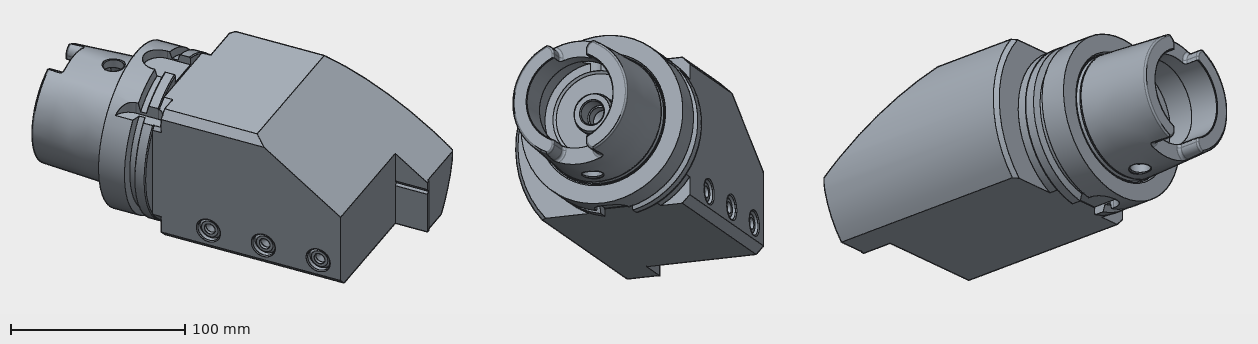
import cadquery as cq
import math


shank_length = 50.0
front_end = 170.0

gauge_diameter = 75.7
taper_per_length = 0.1
end_rounding = 1.0
neck_length = 2.6
neck_radius = 37.0
neck_bevel = 0.9
face_groove_radius = 39.4
face_groove_depth = 0.9

mouth_diameter = 54.0
bore_diameter = 53.0
recess_diameter = 63.0
recess_start = -30.4
recess_end = -9.5
floor_x = -8.5
floor_radius = 24.9

boss_diameter = 24.0
boss_tip_x = -15.5
boss_chamfer_radial = 0.9
boss_chamfer_axial = 2.6
boss_hole_mouth_diameter = 15.5
boss_hole_diameter = 14.0
boss_hole_depth = 11
boss_drill_diameter = 12.0
boss_drill_depth = 17.5
drill_tip_angle = 59

access_diameter = 12.0
access_rim_diameter = 13.5
access_rim_height = 37.0
access_x = -14.5

drive_slot_half_width = 10.0
drive_slot_rounding = 5.5
drive_slot_rounding_start = 27.0
drive_slot_depths = {1: 10.1, -1: 14.5}
drive_slot_corner = 1.8

flange_radius = 100.0 / 2
flange_length = 29.7
flange_edge = 0.7
groove_floor_radius = 46.0
groove_center = 19.8
groove_mouth = 6.5
groove_floor = 3.7

keyway_start = 5.0
keyway_radius = 10.0
keyway_floor = 44
notch_wall_y = -31.7
notch_floor_z = 31.5
notch_end = 33.7
notch_end_radius = 4.2

neck_end = 35.2
body_neck_radius = 49.7
body_top = 43.0
body_bottom = -44.5
body_side = -40.3
body_radius = 68.5
body_chamfer = 4.6
body_rear_chamfer = 2.5
slope_start = 94.2
slope_angle = 35

step_x = 149.5
step_y = 32.1
lip_width = 2.0
lip_length = 0.7
step_corner = 2.0
wall_groove_top = -15.0
wall_groove_root = -17.0
wall_groove_bottom = -18.3
wall_groove_depth = 1.3

screw_first_x = 65.3
screw_pitch = 35.0
screw_count = 3
screw_z = -30.0
screw_hole_diameter = 14.0
screw_countersink_diameter = 15.5
screw_head_depth = 3.5
screw_tip_diameter = 10.5
screw_tip_height = 1.8
socket_diameter = 6.8
socket_depth = 2.2


def revolve_about_x(points):
    """Revolve an (x, radius) outline about the X axis."""
    return cq.Workplane("XY").polyline(points).close().revolve(360, (0, 0, 0), (1, 0, 0))


def box_between(x_range, y_range, z_range):
    """Box between the given limits on each axis."""
    sizes = [high - low for low, high in (x_range, y_range, z_range)]
    corner = (x_range[0], y_range[0], z_range[0])
    return cq.Workplane("XY").box(*sizes, centered=False).translate(corner)


def make_shank_and_flange():
    taper_slope = taper_per_length / 2
    tip_radius = gauge_diameter / 2 - taper_slope * (shank_length - neck_length)
    groove_start = groove_center - groove_mouth / 2
    groove_stop = groove_center + groove_mouth / 2
    return revolve_about_x([
        (-shank_length, 0),
        (-shank_length, tip_radius),
        (-neck_length, gauge_diameter / 2),
        (-neck_length + neck_bevel, neck_radius),
        (-neck_bevel, neck_radius),
        (face_groove_depth, neck_radius + neck_bevel),
        (face_groove_depth, face_groove_radius - face_groove_depth),
        (0, face_groove_radius),
        (0, flange_radius),
        (groove_start, flange_radius),
        (groove_center - groove_floor / 2, groove_floor_radius),
        (groove_center + groove_floor / 2, groove_floor_radius),
        (groove_stop, flange_radius),
        (flange_length - flange_edge, flange_radius),
        (flange_length, flange_radius - flange_edge),
        (flange_length, 0),
    ])


def make_bore():
    mouth_chamfer = (mouth_diameter - bore_diameter) / 2
    bore = revolve_about_x([
        (-shank_length, 0),
        (-shank_length, mouth_diameter / 2),
        (-shank_length + mouth_chamfer, bore_diameter / 2),
        (recess_start, bore_diameter / 2),
        (recess_start, recess_diameter / 2),
        (recess_end, recess_diameter / 2),
        (recess_end, bore_diameter / 2),
        (floor_x, floor_radius),
        (floor_x, 0),
    ])
    boss = revolve_about_x([
        (boss_tip_x, 0),
        (boss_tip_x, boss_diameter / 2 - boss_chamfer_radial),
        (boss_tip_x + boss_chamfer_axial, boss_diameter / 2),
        (floor_x, boss_diameter / 2),
        (floor_x, 0),
    ])
    hole_chamfer = (boss_hole_mouth_diameter - boss_hole_diameter) / 2
    drill_tip = boss_drill_diameter / 2 / math.tan(math.radians(drill_tip_angle))
    boss_hole = revolve_about_x([
        (boss_tip_x, 0),
        (boss_tip_x, boss_hole_mouth_diameter / 2),
        (boss_tip_x + hole_chamfer, boss_hole_diameter / 2),
        (boss_tip_x + boss_hole_depth, boss_hole_diameter / 2),
        (boss_tip_x + boss_hole_depth, boss_drill_diameter / 2),
        (boss_tip_x + boss_drill_depth, boss_drill_diameter / 2),
        (boss_tip_x + boss_drill_depth + drill_tip, 0),
    ])
    return bore.cut(boss).union(boss_hole)


def make_access_hole():
    """Countersunk hole through the shank wall, above and below the bore."""
    hole_radius = access_diameter / 2
    rim_radius = access_rim_diameter / 2
    rim_z = access_rim_height
    sink_z = rim_z - (rim_radius - hole_radius)
    half = (
        cq.Workplane("XZ")
        .polyline([
            (0, 0),
            (hole_radius, 0),
            (hole_radius, sink_z),
            (rim_radius, rim_z),
            (rim_radius, flange_radius),
            (0, flange_radius),
        ])
        .close()
        .revolve(360, (0, 0, 0), (0, 1, 0))
        .translate((access_x, 0, 0))
    )
    core = cq.Workplane("YZ", origin=(boss_tip_x, 0, 0)).circle(bore_diameter / 2).extrude(-boss_tip_x)
    return half.union(half.mirror("XY")).cut(core)


def make_drive_slot(side):
    """Slot across the shank end whose walls flare outwards in a convex rounding."""
    inner = drive_slot_half_width
    outer = inner + drive_slot_rounding
    flare_start = drive_slot_rounding_start
    flare_end = flare_start + drive_slot_rounding
    bend = drive_slot_rounding * math.sqrt(0.5)
    mid_y = outer - bend
    mid_z = flare_start + bend
    slot = (
        cq.Workplane("YZ", origin=(-shank_length, 0, 0))
        .moveTo(-inner, 0)
        .lineTo(-inner, flare_start)
        .threePointArc((-mid_y, mid_z), (-outer, flare_end))
        .lineTo(-outer, flange_radius)
        .lineTo(outer, flange_radius)
        .lineTo(outer, flare_end)
        .threePointArc((mid_y, mid_z), (inner, flare_start))
        .lineTo(inner, 0)
        .close()
        .extrude(drive_slot_depths[side])
        .faces(">X").edges("not #Z").edges("not |Y")
        .fillet(drive_slot_corner)
    )
    return slot if side > 0 else slot.mirror("XY")


def make_keyway(side):
    """Flat-bottomed keyway with a round end, cut into the flange from above or below."""
    center_x = keyway_start + keyway_radius
    depth = flange_radius - keyway_floor
    keyway = (
        cq.Workplane("XY", origin=(0, 0, keyway_floor))
        .moveTo(flange_length, -keyway_radius)
        .lineTo(center_x, -keyway_radius)
        .threePointArc((keyway_start, 0), (center_x, keyway_radius))
        .lineTo(flange_length, keyway_radius)
        .close()
        .extrude(depth)
    )
    return keyway if side > 0 else keyway.mirror("XY")


def make_corner_notch():
    """Notch in the upper -Y corner of the flange, milled from above."""
    notch = box_between(
        (keyway_start, notch_end),
        (-flange_radius, notch_wall_y),
        (notch_floor_z, flange_radius),
    )
    notch = notch.edges("|Z and >Y and <X").fillet(keyway_radius)
    return notch.edges("|Z and >Y and >X").fillet(notch_end_radius)


def make_body():
    slope_end = body_top - (front_end - slope_start) * math.tan(math.radians(slope_angle))
    side_profile = (
        cq.Workplane("XZ")
        .polyline([
            (neck_end, body_bottom),
            (neck_end, body_top),
            (slope_start, body_top),
            (front_end, slope_end),
            (front_end, body_bottom),
        ])
        .close()
        .extrude(body_radius, both=True)
    )
    section = box_between((0, front_end), (body_side, body_radius), (body_bottom, body_top))
    section = section.edges("|X and <Y").chamfer(body_chamfer)
    rounding = (
        cq.Workplane("YZ", origin=(neck_end, 0, 0))
        .circle(body_radius)
        .extrude(front_end - neck_end)
        .faces("<X").chamfer(body_rear_chamfer)
    )
    neck = (
        cq.Workplane("YZ", origin=(flange_length, 0, 0))
        .circle(body_neck_radius)
        .extrude(neck_end - flange_length)
    )
    return side_profile.intersect(rounding).union(neck).intersect(section)


def cut_front_step(body):
    """Cut back the -Y part of the front end, leaving a long wall with a lip and a groove."""
    z_range = (body_bottom, body_top)
    wall_end = front_end - lip_length
    lip_edge = step_y + lip_width
    step = box_between((step_x, front_end), (body_side, step_y), z_range)
    keep = box_between((0, wall_end), (body_side, body_radius), z_range)
    keep = keep.edges("|Z and >X and >Y").fillet(step_corner)
    keep = keep.union(box_between((wall_end, front_end), (step_y, lip_edge), z_range))
    wall_groove = (
        cq.Workplane("YZ", origin=(step_x, 0, 0))
        .polyline([
            (step_y, wall_groove_top),
            (step_y + wall_groove_depth, wall_groove_root),
            (step_y, wall_groove_bottom),
        ])
        .close()
        .extrude(front_end - step_x)
    )
    return body.intersect(keep).cut(step).cut(wall_groove)


def make_screw_hole(x):
    """Space left around a sunk set screw with a conical tip and a drilled socket."""
    countersink = (screw_countersink_diameter - screw_hole_diameter) / 2
    hole_radius = screw_hole_diameter / 2
    tip_radius = screw_tip_diameter / 2
    socket_radius = socket_diameter / 2
    tip_depth = screw_head_depth - screw_tip_height
    socket_end = tip_depth + socket_depth
    socket_tip = socket_end + socket_radius / math.tan(math.radians(drill_tip_angle))
    return (
        cq.Workplane("XY")
        .polyline([
            (0, 0),
            (screw_countersink_diameter / 2, 0),
            (hole_radius, countersink),
            (hole_radius, screw_head_depth),
            (tip_radius, tip_depth),
            (socket_radius, tip_depth),
            (socket_radius, socket_end),
            (0, socket_tip),
        ])
        .close()
        .revolve(360, (0, 0, 0), (0, 1, 0))
        .translate((x, body_side, screw_z))
    )


shank = make_shank_and_flange()
for side in drive_slot_depths:
    shank = shank.cut(make_drive_slot(side)).cut(make_keyway(side))
shank = shank.faces("<X").edges().fillet(end_rounding)
shank = shank.cut(make_bore()).cut(make_access_hole())

body = cut_front_step(make_body())
for index in range(screw_count):
    body = body.cut(make_screw_hole(screw_first_x + index * screw_pitch))

result = shank.union(body).cut(make_corner_notch())